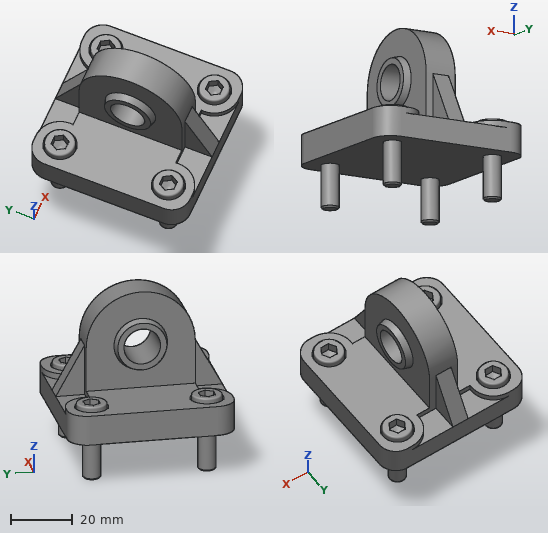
import cadquery as cq
import math

base_side = 55.0
base_thickness = 10.0
base_corner_radius = 6.5
half_base = base_side / 2

screw_spacing = 38.0
half_spacing = screw_spacing / 2
shank_diameter = 6.0
shank_projection = 14.5
shank_chamfer = 0.6
head_diameter = 10.0
head_height = 6.0
head_projection = 1.5
head_fillet = 0.6
socket_across_flats = 5.0
socket_depth = 3.0
socket_cone_depth = 1.45
counterbore_diameter = 11.0

lug_width = 36.0
lug_thickness = 11.1
lug_radius = lug_width / 2
overall_height = 57.5
lug_height = overall_height - shank_projection - base_thickness
eye_height = lug_height - lug_radius

recess_depth = 2.0
recess_length = half_base - lug_radius
pad_radius = half_base - half_spacing

rib_thickness = 6.0

bush_length = 16.0
bush_face_diameter = 16.15
bush_crown_diameter = 19.0
bore_diameter = 12.0


def make_base():
    """Square plate with rounded vertical corners."""
    plate = cq.Workplane("XY").rect(base_side, base_side).extrude(-base_thickness)
    return plate.edges("|Z").fillet(base_corner_radius)


def make_recess(side):
    """Recess along one Y edge (side = 1 or -1), stopped by the screw pads."""
    recess = (
        cq.Workplane("XY")
        .center(0, side * (half_base - recess_length / 2))
        .rect(screw_spacing, recess_length)
        .extrude(-recess_depth)
    )
    pads = (
        cq.Workplane("XY")
        .pushPoints([(-half_spacing, side * half_spacing), (half_spacing, side * half_spacing)])
        .circle(pad_radius)
        .extrude(-recess_depth)
    )
    pad_necks = (
        cq.Workplane("XY")
        .pushPoints([(-half_spacing, 0), (half_spacing, 0)])
        .rect(2 * pad_radius, screw_spacing)
        .extrude(-recess_depth)
    )
    return recess.cut(pads).cut(pad_necks)


def make_lug():
    """Upright lug, rounded concentrically with the eye."""
    return (
        cq.Workplane("YZ")
        .moveTo(-lug_radius, -recess_depth)
        .lineTo(lug_radius, -recess_depth)
        .lineTo(lug_radius, eye_height)
        .threePointArc((0, lug_height), (-lug_radius, eye_height))
        .close()
        .extrude(lug_thickness / 2, both=True)
    )


def make_ribs():
    """Both triangular ribs, from eye height down to the edges of the recess floor."""
    return (
        cq.Workplane("YZ")
        .polyline([
            (-half_base, -recess_depth),
            (half_base, -recess_depth),
            (lug_radius, eye_height),
            (-lug_radius, eye_height),
        ])
        .close()
        .extrude(rib_thickness / 2, both=True)
    )


def make_bush():
    """Barrel-shaped bush along X, widest inside the lug."""
    half_bush = bush_length / 2
    face_radius = bush_face_diameter / 2
    return (
        cq.Workplane("XY")
        .moveTo(-half_bush, 0)
        .lineTo(-half_bush, face_radius)
        .threePointArc((0, bush_crown_diameter / 2), (half_bush, face_radius))
        .lineTo(half_bush, 0)
        .close()
        .revolve(360, (0, 0, 0), (1, 0, 0))
        .translate((0, 0, eye_height))
    )


def make_screw():
    """Socket head cap screw on the Z axis."""
    head_top = head_projection
    shank_end = -base_thickness - shank_projection
    head = (
        cq.Workplane("XY", origin=(0, 0, head_top))
        .circle(head_diameter / 2)
        .extrude(-head_height)
        .edges(">Z")
        .fillet(head_fillet)
    )
    shank = (
        cq.Workplane("XY", origin=(0, 0, shank_end))
        .circle(shank_diameter / 2)
        .extrude(head_top - head_height - shank_end)
        .edges("<Z")
        .chamfer(shank_chamfer)
    )
    return head.union(shank).cut(make_socket().translate((0, 0, head_top)))


def make_socket():
    """Hexagonal socket, corners along X, with a conical floor."""
    across_corners = socket_across_flats / math.cos(math.radians(30))
    full_depth = socket_depth + socket_cone_depth
    hexagon = cq.Workplane("XY").polygon(6, across_corners).extrude(-full_depth)
    drill = (
        cq.Workplane("XZ")
        .polyline([
            (0, 0),
            (across_corners, 0),
            (across_corners, -socket_depth),
            (across_corners / 2, -socket_depth),
            (0, -full_depth),
        ])
        .close()
        .revolve(360, (0, 0, 0), (0, 1, 0))
    )
    return hexagon.intersect(drill)


screw_positions = [(x, y) for x in (-half_spacing, half_spacing) for y in (-half_spacing, half_spacing)]
counterbore_depth = head_height - head_projection

body = make_base()
for side in (-1, 1):
    body = body.cut(make_recess(side))

body = body.union(make_lug()).union(make_ribs()).union(make_bush())

bore = (
    cq.Workplane("YZ", origin=(-bush_length / 2, 0, eye_height))
    .circle(bore_diameter / 2)
    .extrude(bush_length)
)
body = body.cut(bore)

counterbores = (
    cq.Workplane("XY")
    .pushPoints(screw_positions)
    .circle(counterbore_diameter / 2)
    .extrude(-counterbore_depth)
)
body = body.cut(counterbores)

screw = make_screw()
for x, y in screw_positions:
    body = body.union(screw.translate((x, y, 0)))

result = body